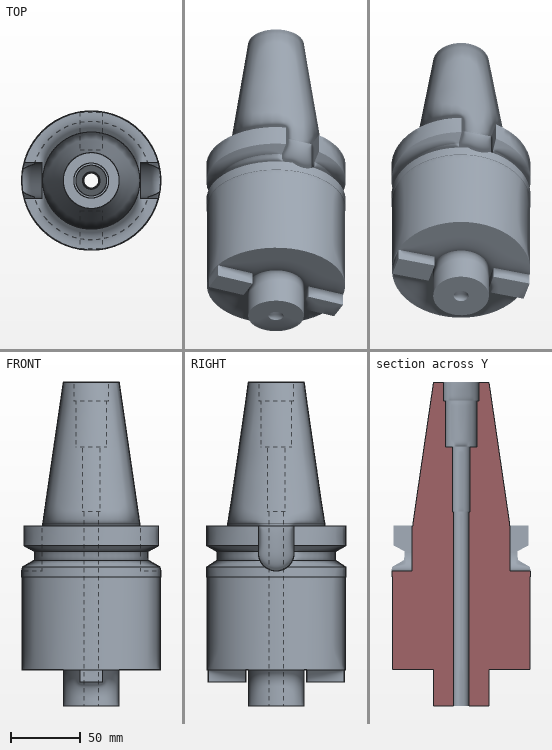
import cadquery as cq

total_height = 232.8
key_bottom_z = 17.2
body_bottom_z = 26.0
lip_bottom_z = 93.0
lip_top_z = 99.9
groove_bottom_z = 104.8
groove_top_z = 111.0
flange_bottom_z = 115.2
flange_top_z = 129.5
taper_base_z = 131.0

flange_diameter = 100.0
body_diameter = 99.5
groove_diameter = 85.2
spigot_diameter = 40.0
taper_base_diameter = 69.8
taper_ratio = 7 / 24
taper_top_diameter = taper_base_diameter - taper_ratio * (total_height - taper_base_z)

mouth_diameter = 25.1
mouth_depth = 13.5
thread_diameter = 22.0
thread_depth = 46.5
neck_diameter = 12.5
neck_depth = 93.1
through_diameter = 10.7

slot_width = 25.5
slot_bottom_z = 97.0
slot_floor_x = 35.5

key_width = 16.3
key_inner_y = 21.9
key_outer_y = 49.0


def turned_body():
    """Revolve the outer profile about the Z axis."""
    profile = [
        (0, 0),
        (spigot_diameter / 2, 0),
        (spigot_diameter / 2, body_bottom_z),
        (body_diameter / 2, body_bottom_z),
        (body_diameter / 2, lip_bottom_z),
        (flange_diameter / 2, lip_bottom_z),
        (flange_diameter / 2, lip_top_z),
        (groove_diameter / 2, groove_bottom_z),
        (groove_diameter / 2, groove_top_z),
        (flange_diameter / 2, flange_bottom_z),
        (flange_diameter / 2, flange_top_z),
        (taper_base_diameter / 2, flange_top_z),
        (taper_base_diameter / 2, taper_base_z),
        (taper_top_diameter / 2, total_height),
        (0, total_height),
    ]
    return cq.Workplane("XZ").polyline(profile).close().revolve(360, (0, 0), (0, 1))


def bore(diameter, depth):
    """Cylinder reaching down from the small end of the taper."""
    return cq.Workplane("XY").workplane(offset=total_height - depth).circle(diameter / 2).extrude(depth)


def drive_slot():
    """Round-bottomed slot cutter on the +X side, open at the flange top."""
    radius = slot_width / 2
    center_z = slot_bottom_z + radius
    return (
        cq.Workplane("YZ", origin=(slot_floor_x, 0, 0))
        .moveTo(-radius, flange_top_z)
        .lineTo(-radius, center_z)
        .threePointArc((0, slot_bottom_z), (radius, center_z))
        .lineTo(radius, flange_top_z)
        .close()
        .extrude(flange_diameter / 2 - slot_floor_x)
    )


def drive_key():
    """Rectangular key on the +Y side, hanging from the body's lower face."""
    key_size = (key_width, key_outer_y - key_inner_y, body_bottom_z - key_bottom_z)
    return (
        cq.Workplane("XY", origin=(0, key_inner_y, key_bottom_z))
        .box(*key_size, centered=(True, False, False))
    )


result = turned_body()

for diameter, depth in (
    (mouth_diameter, mouth_depth),
    (thread_diameter, thread_depth),
    (neck_diameter, neck_depth),
    (through_diameter, total_height),
):
    result = result.cut(bore(diameter, depth))

for angle in (0, 180):
    result = result.cut(drive_slot().rotate((0, 0, 0), (0, 0, 1), angle))
    result = result.union(drive_key().rotate((0, 0, 0), (0, 0, 1), angle))